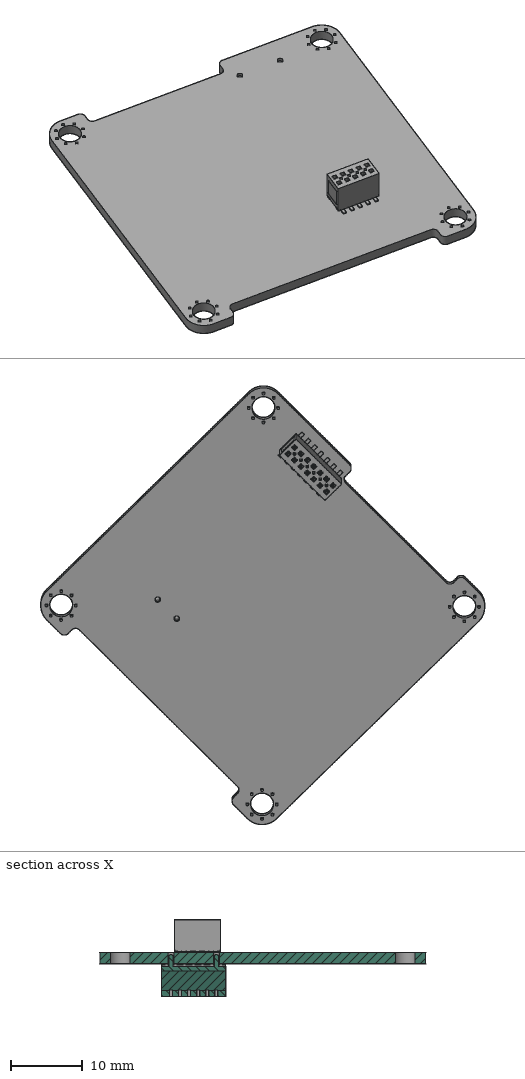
import cadquery as cq
import math

BOARD_SIZE = 45.6
BOARD_THICKNESS = 1.6
CORNER_RADIUS = 2.85

NOTCH_DEPTH = 2.25
NOTCH_CORNER_RADIUS = 0.75
NOTCH_REACH = 16.4
LEFT_NOTCH_TOP = 4.95

MOUNT_HOLE_DIAMETER = 3.2
MOUNT_HOLE_POSITION = BOARD_SIZE / 2 - CORNER_RADIUS
VIA_DIAMETER = 0.385
VIA_COUNT = 8
VIA_RING_RADIUS = 2.05

OVERALL_HEIGHT = 10.75
CONNECTOR_HEIGHT = (OVERALL_HEIGHT - BOARD_THICKNESS) / 2
TOP_CONNECTOR_POSITION = (9.75, 9.1)
TOP_CONNECTOR_ROWS = 5
BOTTOM_CONNECTOR_POSITION = (-19.0, 9.65)
BOTTOM_CONNECTOR_ROWS = 7
PITCH = 1.27

HOUSING_WIDTH = 3.3
HOUSING_END_ALLOWANCE = 1.4
STANDOFF = 0.35

LEAD_SPAN = 4.7
LEAD_GAP = 1.85
LEAD_WIDTH = 0.5
STRIP_THICKNESS = 0.15
RAIL_SETBACK = 0.05

INSERT_WIDTH = 2.4
INSERT_HEIGHT = 2.6
INSERT_COVER = 0.9

OPENING_SIZE = 0.6
BLADE_WIDTH = 2 * STRIP_THICKNESS
BLADE_LENGTH = INSERT_COVER / 2
CENTRE_HOLE_DIAMETER = 0.385

PEG_DIAMETER = 0.65
PEG_DEPTH = 1.35
PEG_TIP_LENGTH = 0.2
PEG_HOLE_DIAMETER = 0.78


def block(width, length, height, x=0.0, y=0.0, z=0.0):
    """Box centred on (x, y) with its underside at z."""
    return cq.Workplane("XY").box(width, length, height, centered=(True, True, False)).translate((x, y, z))


def drills(points, diameter, z, depth):
    """Cylinders, to be cut away, that start at z and go up by depth."""
    return cq.Workplane("XY").workplane(offset=z).pushPoints(points).circle(diameter / 2).extrude(depth)



def row_positions(rows):
    return [(i - (rows - 1) / 2) * PITCH for i in range(rows)]


def contact_points(rows):
    return [(side * PITCH / 2, y) for side in (-1, 1) for y in row_positions(rows)]


def centre_hole_points(rows):
    return [(0, y) for y in row_positions(rows - 1)]


def peg_points(rows):
    outermost = row_positions(rows - 1)
    return [(0, outermost[0]), (0, outermost[-1])]


def housing_length(rows):
    return (rows - 1) * PITCH + HOUSING_END_ALLOWANCE



def notch(side, bottom, top):
    return block(2 * NOTCH_DEPTH, top - bottom, BOARD_THICKNESS, side * BOARD_SIZE / 2, (bottom + top) / 2)


def board_outline():
    square = block(BOARD_SIZE, BOARD_SIZE, BOARD_THICKNESS).edges("|Z").fillet(CORNER_RADIUS)
    notched = square.cut(notch(-1, -NOTCH_REACH, LEFT_NOTCH_TOP)).cut(notch(1, -NOTCH_REACH, NOTCH_REACH))
    notch_zone = cq.selectors.BoxSelector(
        (-BOARD_SIZE, -NOTCH_REACH - NOTCH_CORNER_RADIUS, -BOARD_THICKNESS),
        (BOARD_SIZE, NOTCH_REACH + NOTCH_CORNER_RADIUS, 2 * BOARD_THICKNESS),
    )
    return notched.edges("|Z").edges(notch_zone).fillet(NOTCH_CORNER_RADIUS)


def mount_points():
    return [(sx * MOUNT_HOLE_POSITION, sy * MOUNT_HOLE_POSITION) for sx in (-1, 1) for sy in (-1, 1)]


def via_points():
    angles = [2 * math.pi * i / VIA_COUNT for i in range(VIA_COUNT)]
    return [
        (x + VIA_RING_RADIUS * math.cos(angle), y + VIA_RING_RADIUS * math.sin(angle))
        for x, y in mount_points()
        for angle in angles
    ]


def peg_hole_points(position, rows):
    return [(position[0] + x, position[1] + y) for x, y in peg_points(rows)]


def make_board():
    peg_holes = peg_hole_points(TOP_CONNECTOR_POSITION, TOP_CONNECTOR_ROWS)
    peg_holes += peg_hole_points(BOTTOM_CONNECTOR_POSITION, BOTTOM_CONNECTOR_ROWS)
    board = board_outline()
    board = board.cut(drills(mount_points(), MOUNT_HOLE_DIAMETER, 0, BOARD_THICKNESS))
    board = board.cut(drills(via_points(), VIA_DIAMETER, 0, BOARD_THICKNESS))
    return board.cut(drills(peg_holes, PEG_HOLE_DIAMETER, 0, BOARD_THICKNESS))



INSERT_TOP = CONNECTOR_HEIGHT - INSERT_COVER


def insert_bar(rows):
    return block(INSERT_WIDTH, housing_length(rows), INSERT_HEIGHT, z=INSERT_TOP - INSERT_HEIGHT)


def make_insert(rows):
    insert = insert_bar(rows)
    for x, y in contact_points(rows):
        insert = insert.union(block(BLADE_WIDTH, STRIP_THICKNESS, BLADE_LENGTH, x, y, INSERT_TOP))
    return insert


def make_peg(x, y):
    radius = PEG_DIAMETER / 2
    half_profile = [
        (0, STANDOFF),
        (radius, STANDOFF),
        (radius, PEG_TIP_LENGTH - PEG_DEPTH),
        (0, -PEG_DEPTH),
    ]
    peg = cq.Workplane("XZ").polyline(half_profile).close().revolve(360, (0, 0, 0), (0, 1, 0))
    return peg.translate((x, y, 0))


def make_rail(side, rows):
    width = (HOUSING_WIDTH - LEAD_GAP) / 2
    length = housing_length(rows) - 2 * RAIL_SETBACK
    return block(width, length, STANDOFF - STRIP_THICKNESS, side * (LEAD_GAP + width) / 2, 0, STRIP_THICKNESS)


def make_lead(side, y):
    length = (LEAD_SPAN - LEAD_GAP) / 2
    return block(length, LEAD_WIDTH, STRIP_THICKNESS, side * (LEAD_GAP + length) / 2, y)


def make_housing(rows):
    housing = block(HOUSING_WIDTH, housing_length(rows), CONNECTOR_HEIGHT - STANDOFF, z=STANDOFF)
    housing = housing.cut(insert_bar(rows))
    for x, y in contact_points(rows):
        housing = housing.cut(block(OPENING_SIZE, OPENING_SIZE, INSERT_COVER, x, y, INSERT_TOP))
    housing = housing.cut(drills(centre_hole_points(rows), CENTRE_HOLE_DIAMETER, INSERT_TOP, INSERT_COVER))
    for side in (-1, 1):
        housing = housing.union(make_rail(side, rows))
        for y in row_positions(rows):
            housing = housing.union(make_lead(side, y))
    for x, y in peg_points(rows):
        housing = housing.union(make_peg(x, y))
    return housing



def onto_top(body):
    return body.translate((*TOP_CONNECTOR_POSITION, BOARD_THICKNESS))


def onto_underside(body):
    upside_down = body.rotate((0, 0, 0), (0, 1, 0), 180)
    return upside_down.translate((*BOTTOM_CONNECTOR_POSITION, 0))


board = make_board()
top_housing = onto_top(make_housing(TOP_CONNECTOR_ROWS))
top_insert = onto_top(make_insert(TOP_CONNECTOR_ROWS))
bottom_housing = onto_underside(make_housing(BOTTOM_CONNECTOR_ROWS))
bottom_insert = onto_underside(make_insert(BOTTOM_CONNECTOR_ROWS))

result = cq.Compound.makeCompound([
    board.val(),
    top_housing.val(),
    top_insert.val(),
    bottom_housing.val(),
    bottom_insert.val(),
])